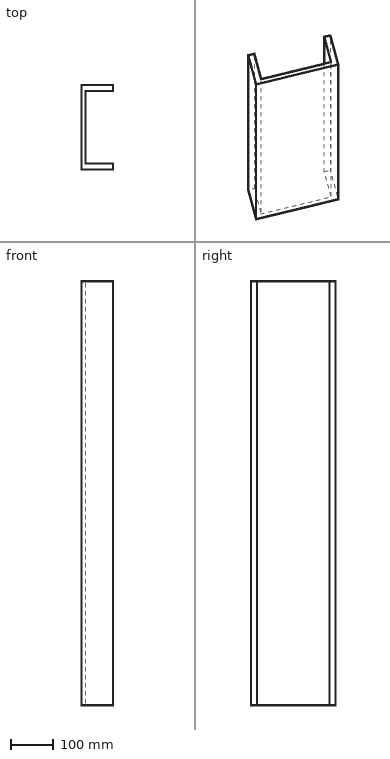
import cadquery as cq

length = 1000.0
depth = 200.0
flange_width = 75.0

web_thickness = 10.0
flange_thickness = 15.0

bar = cq.Workplane("XY").box(flange_width, depth, length)

opening_width = flange_width - web_thickness
opening_depth = depth - 2 * flange_thickness
opening = (
    cq.Workplane("XY")
    .box(opening_width, opening_depth, length)
    .translate((web_thickness / 2, 0, 0))
)

result = bar.cut(opening)